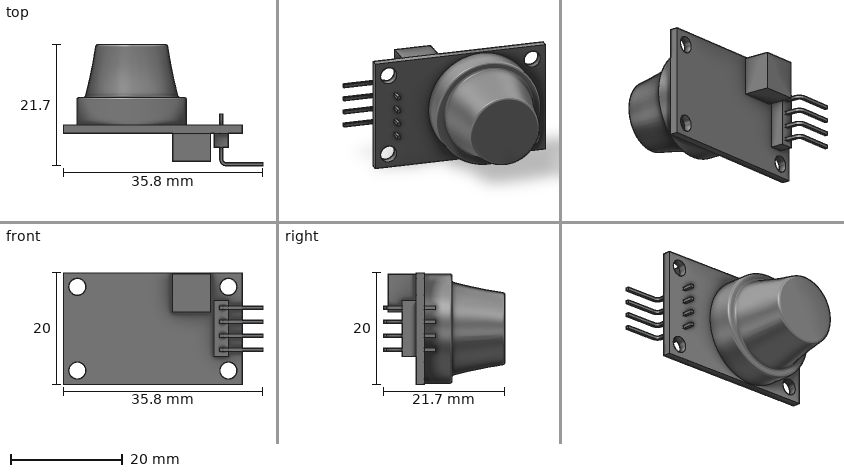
import cadquery as cq

BOARD_LENGTH = 32.03
BOARD_HEIGHT = 20.0
BOARD_THICKNESS = 1.5
HOLE_DIAMETER = 3.0
HOLE_INSET = 2.5

TRIMMER_SIDE = 6.8
TRIMMER_DEPTH = 5.0
TRIMMER_LEFT = 19.55
TRIMMER_TOP_GAP = 0.2

SENSOR_X = 12.23
SENSOR_Z = BOARD_HEIGHT / 2
BASE_RADIUS = 9.8
BASE_HEIGHT = 4.95
SENSOR_HEIGHT = 14.4
CAP_BOTTOM_RADIUS = 8.33
CAP_TOP_RADIUS = 6.4
CAP_BOW = 0.15
SENSOR_FILLET = 0.43

HEADER_LEFT = 27.0
HEADER_WIDTH = 2.55
HEADER_HEIGHT = 10.0
HEADER_DEPTH = 2.5
HEADER_X = HEADER_LEFT + HEADER_WIDTH / 2
HEADER_Z = BOARD_HEIGHT / 2

PIN_COUNT = 4
PIN_PITCH = 2.5
PIN_THICKNESS = 0.57
PIN_TAIL = 1.95
PIN_REACH = 5.83
PIN_TIP_X = 35.75
BEND_RADIUS = 0.93


def make_block(left, bottom, width, depth, height):
    """Block standing on the board's front face and reaching towards -Y."""
    return cq.Workplane("XY").box(width, depth, height, centered=False).translate((left, -depth, bottom))


def make_pin(z):
    tail_y = BOARD_THICKNESS + PIN_TAIL
    leg_y = PIN_THICKNESS / 2 - PIN_REACH
    path = (
        cq.Workplane("XY", origin=(0, 0, z))
        .moveTo(HEADER_X, tail_y)
        .lineTo(HEADER_X, leg_y + BEND_RADIUS)
        .radiusArc((HEADER_X + BEND_RADIUS, leg_y), -BEND_RADIUS)
        .lineTo(PIN_TIP_X, leg_y)
    )
    section = cq.Workplane("XZ", origin=(HEADER_X, tail_y, z)).rect(PIN_THICKNESS, PIN_THICKNESS)
    return section.sweep(path)


def make_board(pins):
    board = cq.Workplane("XY").box(BOARD_LENGTH, BOARD_THICKNESS, BOARD_HEIGHT, centered=False)
    hole_centres = [
        (x, z)
        for x in (HOLE_INSET, BOARD_LENGTH - HOLE_INSET)
        for z in (HOLE_INSET, BOARD_HEIGHT - HOLE_INSET)
    ]
    holes = cq.Workplane("XZ").pushPoints(hole_centres).circle(HOLE_DIAMETER / 2).extrude(-BOARD_THICKNESS)
    trimmer_bottom = BOARD_HEIGHT - TRIMMER_TOP_GAP - TRIMMER_SIDE
    trimmer = make_block(TRIMMER_LEFT, trimmer_bottom, TRIMMER_SIDE, TRIMMER_DEPTH, TRIMMER_SIDE)
    board = board.cut(holes).union(trimmer)
    for pin in pins:
        board = board.cut(pin)
    return board


def make_sensor():
    bow_radius = (CAP_BOTTOM_RADIUS + CAP_TOP_RADIUS) / 2 - CAP_BOW
    bow_height = (BASE_HEIGHT + SENSOR_HEIGHT) / 2
    can = (
        cq.Workplane("YZ", origin=(SENSOR_X, BOARD_THICKNESS, SENSOR_Z))
        .lineTo(0, BASE_RADIUS)
        .lineTo(BASE_HEIGHT, BASE_RADIUS)
        .lineTo(BASE_HEIGHT, CAP_BOTTOM_RADIUS)
        .threePointArc((bow_height, bow_radius), (SENSOR_HEIGHT, CAP_TOP_RADIUS))
        .lineTo(SENSOR_HEIGHT, 0)
        .close()
        .revolve(360, (0, 0, 0), (1, 0, 0))
    )
    return can.edges("%CIRCLE").edges("not <Y").fillet(SENSOR_FILLET)


def make_header(pins):
    bottom = HEADER_Z - HEADER_HEIGHT / 2
    header = make_block(HEADER_LEFT, bottom, HEADER_WIDTH, HEADER_DEPTH, HEADER_HEIGHT)
    for pin in pins:
        header = header.cut(pin)
    return header


first_pin_z = HEADER_Z - PIN_PITCH * (PIN_COUNT - 1) / 2
pins = [make_pin(first_pin_z + i * PIN_PITCH) for i in range(PIN_COUNT)]
board = make_board(pins)
sensor = make_sensor()
header = make_header(pins)

result = cq.Compound.makeCompound(
    [board.val(), sensor.val(), header.val(), *[pin.val() for pin in pins]]
)